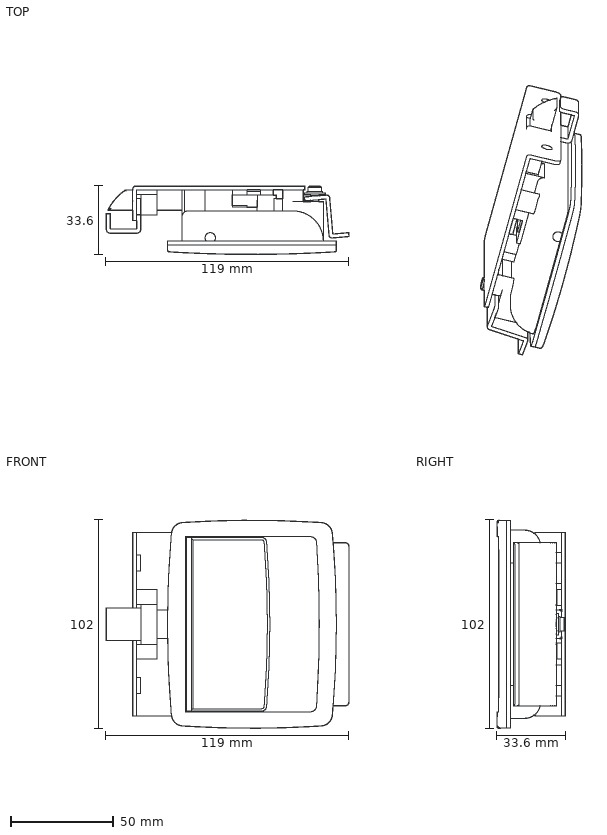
import cadquery as cq
import math


sheet = 1.9
plate_front = -sheet
dish_back = -12.2
dish_floor = -15.0
gasket_back = -26.9
gasket_thick = 2.0
bezel_back = gasket_back - gasket_thick
bezel_front = -33.56
bezel_crown = 1.3
handle_front = -32.5

flange_left = -58.4
flange_right = flange_left + sheet
flange_depth = 17.0
plate_right = 25.95
plate_half_height = 45.0
plate_bend_radius = 1.5
plate_corner_radius = 3.0
bolt_slot_half_height = 7.35
bolt_slot_depth = 12.3
flange_hole_diameter = 5.2
flange_hole_depth = 10.0
collar_diameter = 8.0
collar_length = 2.0
flange_hole_offset = 30.0

bolt_tip = -70.6
bolt_shoulder = -61.9
bolt_end = -2.4
bolt_half_height = 7.0
bolt_front = -11.9
bolt_nose_bulge = 0.9
bolt_edge_radius = 1.05
fork_start = -12.0
fork_back = -4.4
fork_front = -9.5
tang_back = -2.6
tang_half_height = 3.0

guide_right = -46.5
guide_base_front = -4.1
guide_base_half_height = 17.0
hump_front = -14.2
hump_half_height = 9.8
hump_radius = 1.9
hook_sheet = 2.1
hook_left = -71.4
hook_right = flange_right + hook_sheet
hook_front = -23.15
hook_lip_back = -13.5
hook_half_height = 8.07
hook_bend_radius = 2.0

body_left = -34.3
body_right = 35.0
body_half_height = 46.2
body_corner_radius = 3.0
body_back_radius = 7.9
sweep_start = 20.1
recess_left = -32.6
recess_half_height = 42.9
recess_right_corner = 31.5
recess_right_middle = 33.0
recess_corner_radius = 3.0
recess_sweep_start = 17.9
bezel_half_width = 41.4
bezel_half_height = 50.985
bezel_corner_x = 39.0
bezel_corner_z = 49.55
bezel_corner_radius = 6.0
bezel_edge_radius = 0.9
post_diameter = 10.1
left_post_x = -28.1
right_post_x = 20.1
left_post_offset = flange_hole_offset
right_post_offset = 25.0
channel_half_height = 9.1
channel_right = -9.6
pad_back = -10.3
pad_right = 2.5
pivot_x = 7.3
pivot_diameter = 9.4
pivot_tip_diameter = 6.4
pivot_shoulder = -4.4
pivot_rib_right = 15.0
pivot_rib_back = -6.2
pivot_rib_half_width = 3.0
clamp_block_right = 35.1
clamp_block_back = -7.66
clamp_block_half_height = right_post_offset + post_diameter / 2

handle_left = -32.0
handle_face_left = -28.9
handle_lead = 0.6
handle_right_corner = 7.0
handle_right_middle = 8.8
handle_half_height = 42.6
handle_thick = 3.5
handle_edge_chamfer = 1.2
handle_corner_radius = 2.5
hinge_block_back = -21.5
hinge_block_right = -16.5
pin_x = -20.4
pin_y = -25.4
pin_diameter = 5.1

clamp_sheet = 2.0
clamp_tilt = 5.0
clamp_corner = (38.0, -4.25)
clamp_arm_length = 12.4
clamp_leg_length = 21.3
clamp_foot_length = 9.81
clamp_half_height = 40.0
clamp_bend_radius = 1.5
clamp_corner_radius = 2.0
screw_x = 30.8
screw_head_diameter = 6.8
screw_head_chamfer = 0.8
screw_collar_diameter = 7.7
screw_collar_back = -2.6
screw_washer_diameter = 10.4
screw_washer_back = -3.3
screw_washer_front = -4.3
screw_shank_diameter = 4.0
screw_depth = -14.0

through = 200.0


def box(x0, x1, y0, y1, half_height):
    """Block between two X and two Y values, symmetric in Z."""
    centre = ((x0 + x1) / 2, (y0 + y1) / 2)
    return (cq.Workplane("XY").center(*centre).rect(abs(x1 - x0), abs(y1 - y0))
            .extrude(half_height, both=True))


def y_plane(y):
    """Sketch plane facing -Y at depth y, with local axes X and Z; extrude goes toward -Y."""
    return cq.Workplane("XZ", origin=(0, y, 0))


def y_cylinder(x, z, diameter, y_back, y_front):
    """Round bar along Y between two depths."""
    return y_plane(y_back).center(x, z).circle(diameter / 2).extrude(y_back - y_front)


def bezel_outline(y, depth):
    """Rounded rectangle with four gently bowed sides."""
    a, b = bezel_corner_x, bezel_corner_z
    return (y_plane(y).moveTo(-a, -b)
            .threePointArc((0, -bezel_half_height), (a, -b))
            .threePointArc((bezel_half_width, 0), (a, b))
            .threePointArc((0, bezel_half_height), (-a, b))
            .threePointArc((-bezel_half_width, 0), (-a, -b))
            .close().extrude(depth).edges("|Y").fillet(bezel_corner_radius))


def bowed_panel(left, right_corner, right_middle, half_height, y_back, y_front, radius):
    """Panel with a straight left side and a bowed right side with rounded corners."""
    return (y_plane(y_back).moveTo(left, -half_height)
            .lineTo(right_corner, -half_height)
            .threePointArc((right_middle, 0), (right_corner, half_height))
            .lineTo(left, half_height).close().extrude(y_back - y_front)
            .edges("|Y").edges(">X").fillet(radius))


def make_plate():
    back = (box(flange_left, plate_right, 0, plate_front, plate_half_height)
            .edges("|Y and >X").fillet(plate_corner_radius))
    flange = (box(flange_left, flange_right, 0, -flange_depth, plate_half_height)
              .edges("|X and <Y").fillet(plate_corner_radius))
    plate = back.union(flange).edges("|Z and <X and >Y").fillet(plate_bend_radius)
    plate = plate.cut(box(flange_left, flange_right, 0, -bolt_slot_depth, bolt_slot_half_height))
    holes = (cq.Workplane("YZ", origin=(flange_left, 0, 0))
             .pushPoints([(-flange_hole_depth, z) for z in (-flange_hole_offset, flange_hole_offset)]))
    collars = holes.circle(collar_diameter / 2).extrude(sheet + collar_length)
    return plate.union(collars).cut(holes.circle(flange_hole_diameter / 2).extrude(sheet + collar_length))


def make_bolt():
    nose_middle = ((bolt_tip + bolt_shoulder) / 2 - bolt_nose_bulge / math.sqrt(2),
                   (bolt_front + plate_front) / 2 + bolt_nose_bulge / math.sqrt(2))
    bolt = (cq.Workplane("XY").moveTo(bolt_shoulder, plate_front)
            .threePointArc(nose_middle, (bolt_tip, bolt_front))
            .lineTo(bolt_end, bolt_front)
            .lineTo(bolt_end, plate_front).close().extrude(bolt_half_height, both=True))
    bolt = bolt.faces("<Z or >Z").edges("not >X").fillet(bolt_edge_radius)
    bolt = bolt.cut(box(fork_start, bolt_end, fork_back, fork_front, bolt_half_height))
    tang_end = pivot_x - pivot_tip_diameter / 2
    return bolt.union(box(fork_start, tang_end, tang_back, fork_back, tang_half_height))


def make_guide():
    base = box(flange_right, guide_right, plate_front, guide_base_front, guide_base_half_height)
    hump = (box(hook_right, guide_right, plate_front, hump_front, hump_half_height)
            .edges("|X and <Y").fillet(hump_radius))
    return base.union(hump).cut(bolt_passage())


def bolt_passage():
    """Rectangular way for the bolt, open to the mounting plate."""
    return box(-through, fork_start, plate_front, bolt_front, bolt_half_height)


def make_hook():
    outer = (box(hook_left, hook_right, guide_base_front, hook_front, hook_half_height)
             .edges("|Z and <Y").fillet(hook_bend_radius))
    inner = box(hook_left + hook_sheet, flange_right, 0, hook_front + hook_sheet, hook_half_height)
    lip_gap = box(hook_left, flange_right, 0, hook_lip_back, hook_half_height)
    hook = outer.cut(inner).cut(lip_gap)
    hook = hook.edges(cq.selectors.BoxSelector(
        (hook_left - 1, hook_lip_back - 1, -through), (flange_right - 1, hook_lip_back + 1, through))
    ).edges("|X").fillet(hook_bend_radius)
    head = box(flange_right, hook_right, guide_base_front, hump_front, hump_half_height)
    return hook.union(head).cut(bolt_passage())


def sweep_profile(left, start, right, y_back):
    """XY profile with a flat rear wall that curves forward in an arc and then runs straight to the bezel."""
    return (cq.Workplane("XY").moveTo(left, bezel_back).lineTo(left, y_back).lineTo(start, y_back)
            .tangentArcPoint((right, gasket_back), relative=False).lineTo(right, bezel_back).close())


def make_dish():
    dish = (sweep_profile(body_left, sweep_start, body_right, dish_back)
            .extrude(body_half_height, both=True))
    dish = dish.faces(">Y").edges(">Z or <Z").fillet(body_back_radius)
    return dish.edges("|Y").edges("<X").fillet(body_corner_radius)


def make_recess():
    profile = (sweep_profile(recess_left, recess_sweep_start, recess_right_middle, dish_floor)
               .extrude(recess_half_height, both=True))
    mouth = box(recess_left, recess_right_middle, bezel_back, bezel_front, recess_half_height)
    panel = bowed_panel(recess_left, recess_right_corner, recess_right_middle, recess_half_height,
                        dish_floor, bezel_front, recess_corner_radius)
    return profile.union(mouth).intersect(panel)


def make_bezel():
    edge_front = bezel_front + bezel_crown
    crown = (cq.Workplane("XY").moveTo(-bezel_half_width, bezel_back)
             .lineTo(-bezel_half_width, edge_front)
             .threePointArc((0, bezel_front), (bezel_half_width, edge_front))
             .lineTo(bezel_half_width, bezel_back).close().extrude(through, both=True))
    bezel = bezel_outline(bezel_back, bezel_back - bezel_front).intersect(crown)
    return bezel.faces("<Y").edges().fillet(bezel_edge_radius)


def bolt_tunnel():
    """Slot that the whole bolt slides in."""
    return box(body_left, bolt_end, plate_front, bolt_front, bolt_half_height)


def make_housing():
    housing = make_dish().union(make_bezel())
    for x, offset in ((left_post_x, left_post_offset), (right_post_x, right_post_offset)):
        for z in (-offset, offset):
            housing = housing.union(y_cylinder(x, z, post_diameter, plate_front, dish_floor))
    housing = housing.union(box(body_left, channel_right, plate_front, dish_floor, channel_half_height))
    housing = housing.union(box(channel_right, pad_right, pad_back, dish_floor, channel_half_height))
    housing = housing.union(box(pivot_x, pivot_rib_right, pivot_rib_back, dish_floor, pivot_rib_half_width))
    housing = housing.union(box(sweep_start, clamp_block_right, clamp_block_back, gasket_back,
                                clamp_block_half_height))
    housing = housing.cut(make_recess())
    housing = housing.cut(bolt_tunnel())
    housing = housing.union(y_cylinder(pivot_x, 0, pivot_diameter, pivot_shoulder, dish_floor))
    housing = housing.union(y_cylinder(pivot_x, 0, pivot_tip_diameter, plate_front, dish_floor))
    return housing


def make_handle():
    handle_back = handle_front + handle_thick
    profile = (cq.Workplane("XY").moveTo(handle_face_left, handle_front)
               .lineTo(handle_face_left - handle_lead, handle_front + handle_lead)
               .lineTo(handle_left, pin_y).lineTo(handle_left, hinge_block_back)
               .lineTo(hinge_block_right, hinge_block_back).lineTo(hinge_block_right, handle_back)
               .lineTo(handle_right_middle, handle_back).lineTo(handle_right_middle, handle_front)
               .close().extrude(handle_half_height, both=True))
    panel = bowed_panel(handle_left, handle_right_corner, handle_right_middle, handle_half_height,
                        hinge_block_back, handle_front, handle_corner_radius)
    handle = profile.intersect(panel)
    return handle.faces("<Y").edges("not <X").chamfer(handle_edge_chamfer)


def make_hinge_pin():
    section = cq.Workplane("XY").center(pin_x, pin_y).circle(pin_diameter / 2)
    return section.extrude(body_half_height, both=True)


def make_clamp():
    x, y = clamp_corner
    t = clamp_sheet
    heel = y - clamp_leg_length
    clamp = (cq.Workplane("XY").moveTo(x - clamp_arm_length, y).lineTo(x, y)
             .lineTo(x, heel + t).lineTo(x - t + clamp_foot_length, heel + t)
             .lineTo(x - t + clamp_foot_length, heel).lineTo(x - t, heel)
             .lineTo(x - t, y - t).lineTo(x - clamp_arm_length, y - t)
             .close().extrude(clamp_half_height, both=True))
    clamp = clamp.edges("|Y and (<X or >X)").fillet(clamp_corner_radius)
    outer_bends = (cq.selectors.NearestToPointSelector((x, y, 0)),
                   cq.selectors.NearestToPointSelector((x - t, heel, 0)))
    for bend in outer_bends:
        clamp = clamp.edges(bend).fillet(clamp_bend_radius)
    return clamp.rotate((x, y, 0), (x, y, 1), clamp_tilt)


def make_screw():
    head = (y_cylinder(screw_x, 0, screw_head_diameter, 0, screw_washer_back)
            .faces(">Y").chamfer(screw_head_chamfer))
    collar = y_cylinder(screw_x, 0, screw_collar_diameter, screw_collar_back, screw_washer_back)
    washer = y_cylinder(screw_x, 0, screw_washer_diameter, screw_washer_back, screw_washer_front)
    shank = y_cylinder(screw_x, 0, screw_shank_diameter, screw_washer_front, screw_depth)
    return head.union(collar).union(washer).union(shank)


plate = make_plate()
bolt = make_bolt()
guide = make_guide()
hook = make_hook()
screw = make_screw()
hinge_pin = make_hinge_pin()
clamp = make_clamp().cut(screw)
handle = make_handle().cut(hinge_pin)
housing = make_housing().cut(hinge_pin).cut(screw)
gasket = bezel_outline(gasket_back, gasket_thick).cut(make_dish())

result = cq.Compound.makeCompound([
    body.val() for body in
    (plate, bolt, guide, hook, housing, gasket, handle, hinge_pin, clamp, screw)
])